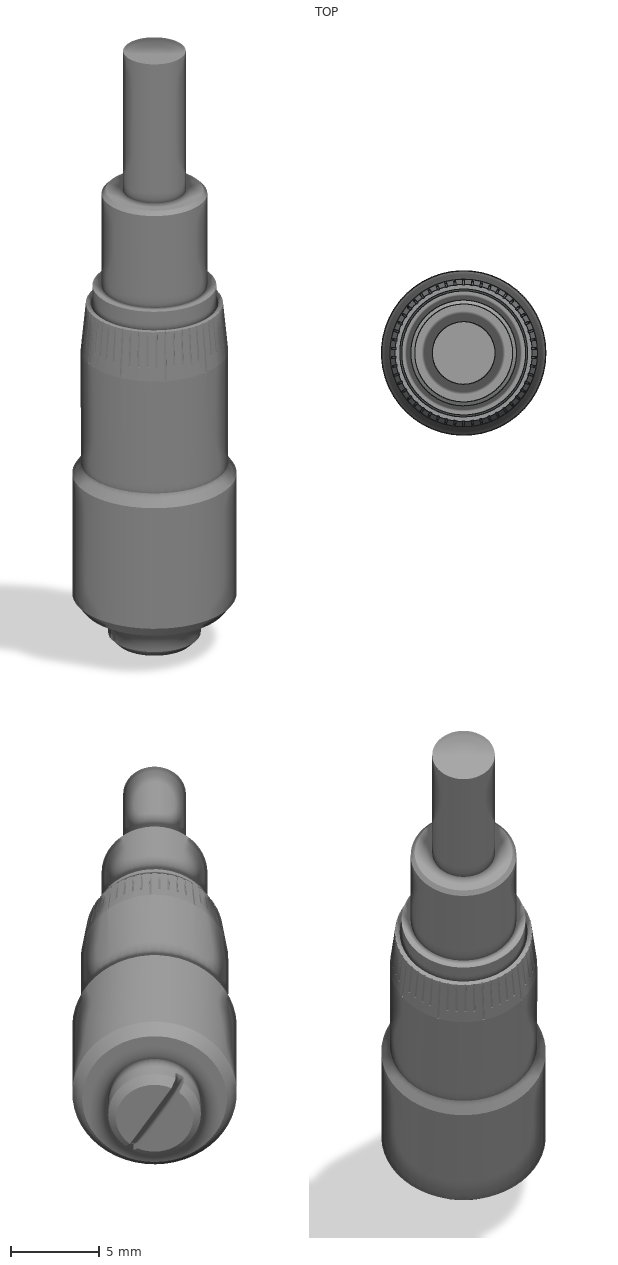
import cadquery as cq


overall_height = 36.9
cap_top_z = 2.18
knob_top_z = 11.15
cone_base_z = 18.15
thimble_top_z = 21.1
collar_top_z = 22.22
stem_top_z = 28.2
sleeve_bottom_z = cone_base_z

knob_radius = 4.65
thimble_radius = 4.17
cone_top_radius = 3.88
bore_radius = 3.6
collar_radius = 3.5
stem_radius = 3.0
cap_radius = 2.62
spindle_radius = 1.77

knob_top_bevel_height = 0.7
knob_bottom_bevel_height = 0.7
knob_bottom_bevel_width = 0.55
cap_chamfer = 0.45
stem_chamfer = 0.22

slot_width = 0.5
slot_depth = 1.1

mark_count = 50
marks_per_long_mark = 5
mark_width = 0.1
mark_depth = 0.05
short_mark_bottom_z = 18.97
first_mark_angle = -90.0
mark_overshoot = 0.37


def revolve_profile(points):
    """Turn a closed (radius, height) outline about the Z axis."""
    return cq.Workplane("XZ").polyline(points).close().revolve(360, (0, 0, 0), (0, 1, 0))


def cone_radius_at(z):
    """Radius of the scale cone at height z, continued in a straight line past its ends."""
    slope = (cone_top_radius - thimble_radius) / (thimble_top_z - cone_base_z)
    return thimble_radius + slope * (z - cone_base_z)


def make_mark_cutter(bottom_z):
    """Narrow blade along +X that follows the cone and runs out through the thimble top."""
    top_z = thimble_top_z + mark_overshoot
    outline = [
        (cone_radius_at(bottom_z) - mark_depth, bottom_z),
        (cone_radius_at(bottom_z) + mark_overshoot, bottom_z),
        (cone_radius_at(top_z) + mark_overshoot, top_z),
        (cone_radius_at(top_z) - mark_depth, top_z),
    ]
    return cq.Workplane("XZ").polyline(outline).close().extrude(mark_width / 2, both=True)


def engrave_scale(thimble):
    """Cut the ring of scale marks, every fifth one reaching the base of the cone."""
    long_cutter = make_mark_cutter(cone_base_z)
    short_cutter = make_mark_cutter(short_mark_bottom_z)
    blades = []
    for index in range(mark_count):
        is_long = index % marks_per_long_mark == 0
        cutter = long_cutter if is_long else short_cutter
        angle = first_mark_angle + index * 360.0 / mark_count
        blades.append(cutter.rotate((0, 0, 0), (0, 0, 1), angle).val())
    return thimble.cut(cq.Workplane(cq.Compound.makeCompound(blades)))


def cut_cap_slot(thimble):
    """Cut the slot across the bottom of the cap, running along Y."""
    slot = cq.Workplane("XY").box(slot_width, 2 * knob_radius, slot_depth, centered=(True, True, False))
    return thimble.cut(slot)


def make_thimble():
    """Thimble with its spindle, knob and slotted cap, hollowed around the spindle for the sleeve."""
    outline = [
        (0, 0),
        (cap_radius - cap_chamfer, 0),
        (cap_radius, cap_chamfer),
        (cap_radius, cap_top_z),
        (knob_radius - knob_bottom_bevel_width, cap_top_z),
        (knob_radius, cap_top_z + knob_bottom_bevel_height),
        (knob_radius, knob_top_z - knob_top_bevel_height),
        (thimble_radius, knob_top_z),
        (thimble_radius, cone_base_z),
        (cone_top_radius, thimble_top_z),
        (bore_radius, thimble_top_z),
        (bore_radius, sleeve_bottom_z),
        (spindle_radius, sleeve_bottom_z),
        (spindle_radius, overall_height),
        (0, overall_height),
    ]
    return engrave_scale(cut_cap_slot(revolve_profile(outline)))


def make_sleeve():
    """Fixed sleeve: a collar standing in the thimble bore and a stem, bored through for the spindle."""
    outline = [
        (spindle_radius, sleeve_bottom_z),
        (collar_radius, sleeve_bottom_z),
        (collar_radius, collar_top_z),
        (stem_radius, collar_top_z),
        (stem_radius, stem_top_z - stem_chamfer),
        (stem_radius - stem_chamfer, stem_top_z),
        (spindle_radius, stem_top_z),
    ]
    return revolve_profile(outline)


thimble = make_thimble()
sleeve = make_sleeve()

result = cq.Compound.makeCompound([thimble.val(), sleeve.val()])